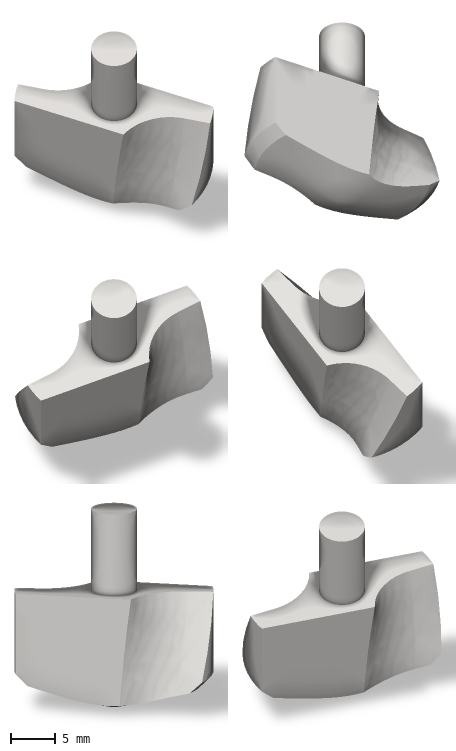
import cadquery as cq
import math

TOTAL_HEIGHT = 23.3
HEAD_TOP = 13.77
HEAD_DIAMETER = 22.58
HEAD_THICKNESS = 7.75
SHANK_DIAMETER = 5.2

CONE_RADIUS = 10.02
CONE_HEIGHT = 3.0
BEVEL_TOP = 4.3

FLUTE_RADIUS = 6.65
FLUTE_JOIN_X = 8.22
FLUTE_JOIN_Y = 0.98
CUTTING_FACE_ANGLE = 8.0
TWIST_PER_UNIT = 2.489
FLUTE_REACH = 13.98
FLUTE_COUNT = 2


def make_head():
    """Revolved drill envelope trimmed to a flat blade."""
    radius = HEAD_DIAMETER / 2
    envelope = (
        cq.Workplane("XZ")
        .moveTo(0, 0)
        .lineTo(CONE_RADIUS, CONE_HEIGHT)
        .lineTo(radius, BEVEL_TOP)
        .lineTo(radius, HEAD_TOP)
        .lineTo(0, HEAD_TOP)
        .close()
        .revolve(360, (0, 0, 0), (0, 1, 0))
    )
    blade = cq.Workplane("XY").box(
        HEAD_DIAMETER, HEAD_THICKNESS, HEAD_TOP, centered=(True, True, False)
    )
    return envelope.intersect(blade)


def make_flute_cutter():
    """Twisted prism with a round inner wall and a tangent cutting face."""
    face_angle = math.radians(CUTTING_FACE_ANGLE)
    center_x = FLUTE_JOIN_X + FLUTE_RADIUS * math.sin(face_angle)
    center_y = FLUTE_JOIN_Y - FLUTE_RADIUS * math.cos(face_angle)
    wall_x = center_x - FLUTE_RADIUS
    middle_angle = (math.pi + math.pi / 2 + face_angle) / 2
    arc_middle = (
        center_x + FLUTE_RADIUS * math.cos(middle_angle),
        center_y + FLUTE_RADIUS * math.sin(middle_angle),
    )
    face_end_y = FLUTE_JOIN_Y + (FLUTE_REACH - FLUTE_JOIN_X) * math.tan(face_angle)
    return (
        cq.Workplane("XY")
        .moveTo(wall_x, center_y)
        .threePointArc(arc_middle, (FLUTE_JOIN_X, FLUTE_JOIN_Y))
        .lineTo(FLUTE_REACH, face_end_y)
        .lineTo(FLUTE_REACH, -FLUTE_REACH)
        .lineTo(wall_x, -FLUTE_REACH)
        .close()
        .twistExtrude(HEAD_TOP, TWIST_PER_UNIT * HEAD_TOP)
        .rotate((0, 0, 0), (0, 0, 1), -TWIST_PER_UNIT * HEAD_TOP)
    )


def make_shank():
    return (
        cq.Workplane("XY")
        .workplane(offset=HEAD_TOP)
        .circle(SHANK_DIAMETER / 2)
        .extrude(TOTAL_HEIGHT - HEAD_TOP)
    )


head = make_head()
flute_cutter = make_flute_cutter()
for index in range(FLUTE_COUNT):
    turn = index * 360 / FLUTE_COUNT
    head = head.cut(flute_cutter.rotate((0, 0, 0), (0, 0, 1), turn))

result = head.union(make_shank())